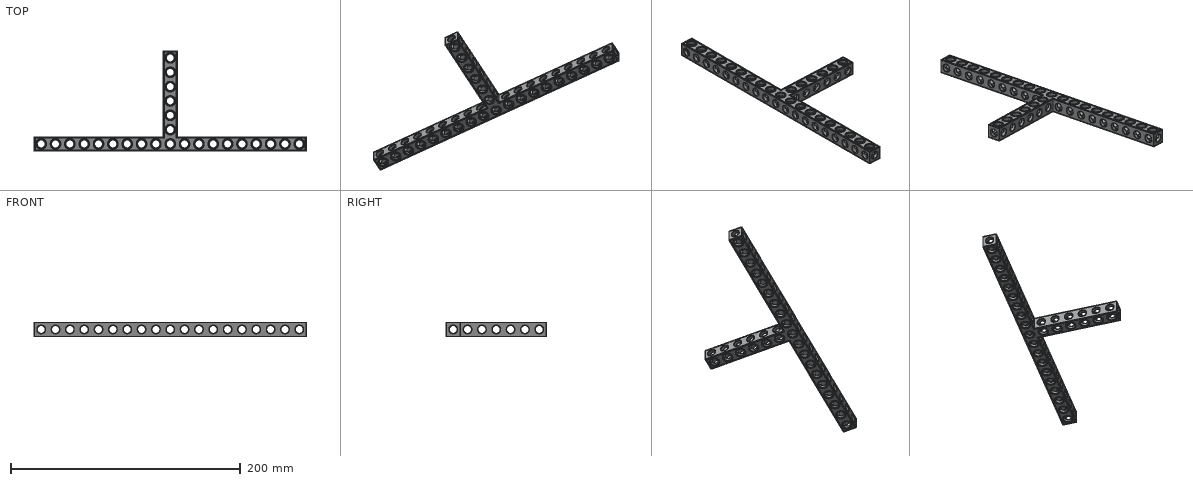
import cadquery as cq

bar_length = 237.5
bar_hole_count = 19
arm_hole_count = 6
chamfer = 0.3
hole_mouth_diameter = 7.5
recess_depth = 0.2
recess_margin = 1.07
rim_diameter = 9.3

hole_radius = hole_mouth_diameter / 2 - chamfer

pitch = bar_length / bar_hole_count
half = pitch / 2
arm_length = arm_hole_count * pitch
arm_end = half + arm_length

bar_stations = [(i - (bar_hole_count - 1) / 2) * pitch for i in range(bar_hole_count)]
arm_stations = [(i + 1) * pitch for i in range(arm_hole_count)]
vertical_points = [(x, 0) for x in bar_stations] + [(0, y) for y in arm_stations]


def tee_prism(margin, bottom, height):
    """T-shaped prism, with its outline moved inward by the margin."""
    end_x = bar_length / 2 - margin
    side = half - margin
    end_y = arm_end - margin
    outline = [
        (-end_x, -side),
        (end_x, -side),
        (end_x, side),
        (side, side),
        (side, end_y),
        (-side, end_y),
        (-side, side),
        (-end_x, side),
    ]
    return cq.Workplane("XY").workplane(offset=bottom).polyline(outline).close().extrude(height)


def is_inner_corner(edge):
    """True for a vertical edge where a side of the arm meets the back of the bar."""
    tolerance = pitch / 100
    middle = edge.Center()
    return abs(abs(middle.x) - half) < tolerance and abs(middle.y - half) < tolerance


def make_body():
    """Tee with every edge chamfered, except the two inner corners beside the arm."""
    body = tee_prism(0, -half, pitch)
    outer_corners = body.edges("|Z").filter(lambda edge: not is_inner_corner(edge))
    return outer_corners.add(body.edges("#Z")).chamfer(chamfer)


def panel_recess(bottom):
    """Shallow T-shaped pocket that leaves a border at the edges and a round rim at each hole."""
    pocket = tee_prism(recess_margin, bottom, recess_depth)
    rims = cq.Workplane("XY").workplane(offset=bottom).pushPoints(vertical_points)
    return pocket.cut(rims.circle(rim_diameter / 2).extrude(recess_depth))


def hole_cutter(length):
    """Round cutter along Z, centred on the origin, flared at both ends for the hole chamfers."""
    mouth = hole_mouth_diameter / 2
    end = length / 2
    shoulder = end - chamfer
    profile = [
        (0, -end),
        (mouth, -end),
        (hole_radius, -shoulder),
        (hole_radius, shoulder),
        (mouth, end),
        (0, end),
    ]
    return cq.Workplane("XZ").polyline(profile).close().revolve(360, (0, 0), (0, 1))


def along_x(cutter):
    return cutter.rotate((0, 0, 0), (0, 1, 0), 90)


def along_y(cutter):
    return cutter.rotate((0, 0, 0), (1, 0, 0), 90)


result = make_body()

result = result.cut(panel_recess(half - recess_depth))
result = result.cut(panel_recess(-half))

cell_cutter = hole_cutter(pitch)
for x, y in vertical_points:
    result = result.cut(cell_cutter.translate((x, y, 0)))

for x in bar_stations:
    if x != 0:
        result = result.cut(along_y(cell_cutter).translate((x, 0, 0)))
for y in arm_stations:
    result = result.cut(along_x(cell_cutter).translate((0, y, 0)))

result = result.cut(along_x(hole_cutter(bar_length)))
arm_bore = along_y(hole_cutter(pitch + arm_length))
result = result.cut(arm_bore.translate((0, arm_length / 2, 0)))